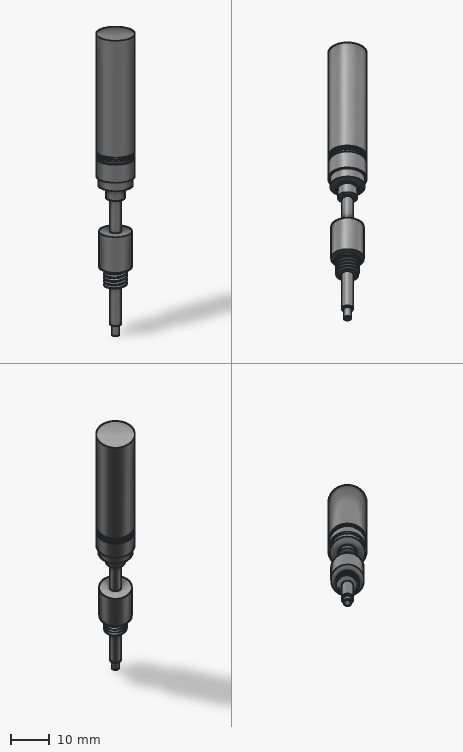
import cadquery as cq
import math

total_length = 83.45
handle_bottom = 44.15
handle_joint_height = 51.05
ring_groove_top = 50.12
sleeve_bottom = 19.0

pin_tip_length = 3.0
spigot_length = 2.5
collar_relief_length = 0.5
collar_length = 3.0
pin_neck_length = 0.5
sleeve_length = 9.85
threaded_length = 5.0
thread_relief_length = 0.45

handle_diameter = 10.0
handle_joint_diameter = 9.1
spigot_diameter = 9.0
collar_relief_diameter = 4.5
collar_diameter = 5.0
pin_neck_diameter = 2.7
pin_diameter = 3.0
pin_tip_diameter = 2.0
sleeve_diameter = 8.5
thread_relief_top_diameter = 5.3
thread_diameter = 6.0
thread_root_diameter = 4.7

ring_groove_depth = 0.2
ring_groove_width = 1.0

pin_chamfer = 0.25

thread_pitch = 1.0
thread_root_width = thread_pitch / 8
flank_half_angle = math.radians(30)
thread_start_height = 12.92
thread_turns = 5.5
cutter_overshoot = 0.05


def rod(diameter, bottom, length):
    """Solid cylinder on the Z axis."""
    return cq.Workplane("XY").workplane(offset=bottom).circle(diameter / 2).extrude(length)


def revolve_about_z(points):
    """Solid of revolution from (radius, height) points."""
    return cq.Workplane("XZ").polyline(points).close().revolve(360, (0, 0), (0, 1))


def make_handle():
    """Cylinder with a chamfered joint and a ring groove near its lower end."""
    radius = handle_diameter / 2
    joint_radius = handle_joint_diameter / 2
    joint_chamfer = radius - joint_radius
    groove_bottom = ring_groove_top - ring_groove_width
    floor_radius = radius - ring_groove_depth
    return revolve_about_z([
        (0, handle_bottom),
        (radius, handle_bottom),
        (radius, groove_bottom),
        (floor_radius, groove_bottom + ring_groove_depth),
        (floor_radius, ring_groove_top - ring_groove_depth),
        (radius, ring_groove_top),
        (radius, handle_joint_height - joint_chamfer),
        (joint_radius, handle_joint_height),
        (radius, handle_joint_height),
        (radius, total_length),
        (0, total_length),
    ])


def make_stem():
    """Spigot, collar and stepped pin hanging below the handle."""
    spigot_bottom = handle_bottom - spigot_length
    collar_top = spigot_bottom - collar_relief_length
    collar_bottom = collar_top - collar_length
    neck_bottom = collar_bottom - pin_neck_length
    pin = rod(pin_diameter, pin_tip_length, neck_bottom - pin_tip_length)
    tip = rod(pin_tip_diameter, 0, pin_tip_length)
    return (
        rod(spigot_diameter, spigot_bottom, spigot_length)
        .union(rod(collar_relief_diameter, collar_top, collar_relief_length))
        .union(rod(collar_diameter, collar_bottom, collar_length))
        .union(rod(pin_neck_diameter, neck_bottom, pin_neck_length))
        .union(pin.faces("<Z").chamfer(pin_chamfer))
        .union(tip.faces("<Z").chamfer(pin_chamfer))
    )


def make_thread_groove():
    """Helical cutter with the trapezoidal section of the space between thread crests."""
    root_radius = thread_root_diameter / 2
    outer_radius = thread_diameter / 2 + cutter_overshoot
    root_half = thread_root_width / 2
    outer_half = root_half + (outer_radius - root_radius) * math.tan(flank_half_angle)
    path = cq.Wire.makeHelix(thread_pitch, thread_turns * thread_pitch, root_radius)
    cutter = (
        cq.Workplane("XZ")
        .polyline([
            (root_radius, -root_half),
            (outer_radius, -outer_half),
            (outer_radius, outer_half),
            (root_radius, root_half),
        ])
        .close()
        .sweep(cq.Workplane(path), isFrenet=True)
    )
    return cutter.translate((0, 0, thread_start_height))


def make_sleeve():
    """Sleeve around the pin with a short male thread below it, joined by a V-shaped relief."""
    thread_bottom = sleeve_bottom - threaded_length
    relief_bottom = sleeve_bottom - thread_relief_length
    thread_radius = thread_diameter / 2
    root_radius = thread_root_diameter / 2
    thread = revolve_about_z([
        (0, thread_bottom),
        (thread_radius, thread_bottom),
        (thread_radius, relief_bottom - (thread_radius - root_radius)),
        (root_radius, relief_bottom),
        (thread_relief_top_diameter / 2, sleeve_bottom),
        (0, sleeve_bottom),
    ]).cut(make_thread_groove())
    return thread.union(rod(sleeve_diameter, sleeve_bottom, sleeve_length))


result = make_handle().union(make_stem()).union(make_sleeve())